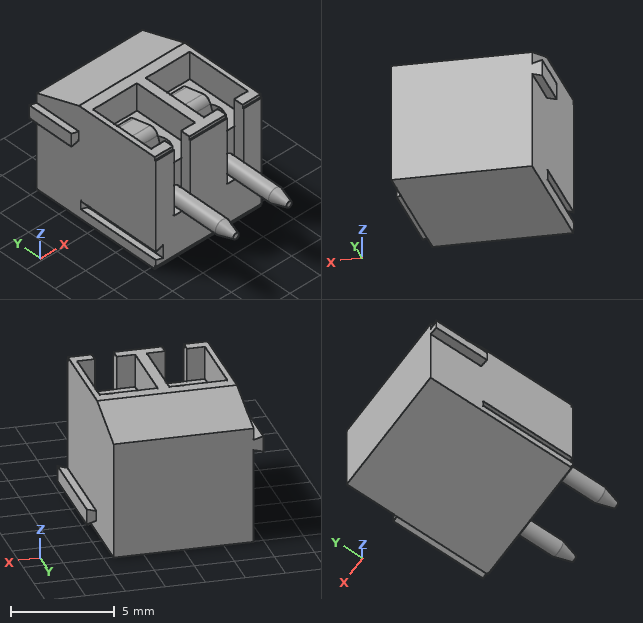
import cadquery as cq
import math


overall_length = 12.19
overall_width = 7.98
body_width = 7.0
body_height = 7.0
body_length = 8.4
slope_length = 2.99
slope_start_y = body_length - slope_length
rear_height = 6.0
front_step_depth = 0.07
front_step_height = 0.2

front_wall = 0.66
side_wall = 0.3
middle_wall = 0.59
well_width = (body_width - 2 * side_wall - middle_wall) / 2
well_length = 4.08
well_floor_z = 5.29
well_x = (middle_wall + well_width) / 2

pole_pitch = 3.51
pole_x = pole_pitch / 2
slot_width = 1.08
slot_bottom_z = 2.71

hole_diameter = 2.02
hole_depth = 1.23
hole_y = 2.16

leaf_width = 1.52
leaf_radius = 0.46
leaf_top_angle = 13.0
leaf_end_angle = 70.5
leaf_front_y = 2.7
leaf_front_z = 5.85
leaf_run = 2.06
leaf_embedment = 0.61
leaf_bottom_z = well_floor_z - hole_depth - leaf_embedment

pin_diameter = 0.93
pin_tip_diameter = 0.37
pin_taper_length = 0.98
pin_z = 3.4
pin_reach = overall_length - body_length

dovetail_depth = (overall_width - body_width) / 2
dovetail_wide = 0.82
rail_narrow = 0.5
rail_length = 5.29
rail_z = 0.87
groove_end_length = 0.16
groove_end_depth = 0.46
tab_narrow = 0.55
tab_length = slope_length
tab_z = 5.12


def block(x_center, width, y_start, y_end, z_start, z_end):
    """Box centred in X between the given Y and Z limits."""
    box = cq.Workplane("XY").box(width, y_end - y_start, z_end - z_start, centered=(True, False, False))
    return box.translate((x_center, y_start, z_start))


def dovetail(x_root, x_tip, narrow, wide, z_center, y_start, y_end):
    """Prism along Y that widens from its root to its tip."""
    return (
        cq.Workplane("XZ", origin=(0, y_start, z_center))
        .polyline([
            (x_root, -narrow / 2),
            (x_tip, -wide / 2),
            (x_tip, wide / 2),
            (x_root, narrow / 2),
        ])
        .close()
        .extrude(y_start - y_end)
    )


def housing():
    """Side profile with a sloped rear top and small steps along the front edges."""
    return (
        cq.Workplane("YZ", origin=(-body_width / 2, 0, 0))
        .polyline([
            (front_step_depth, 0),
            (body_length, 0),
            (body_length, rear_height),
            (slope_start_y, body_height),
            (front_step_depth, body_height),
            (front_step_depth, body_height - front_step_height),
            (0, body_height - front_step_height),
            (0, front_step_height),
            (front_step_depth, front_step_height),
        ])
        .close()
        .extrude(body_width)
    )


def pole_opening(side):
    """Well, front slot and round hole of one pole."""
    well = block(side * well_x, well_width, front_wall, front_wall + well_length, well_floor_z, body_height)
    slot = block(side * pole_x, slot_width, 0, front_wall, slot_bottom_z, body_height)
    hole = (
        cq.Workplane("XY", origin=(side * pole_x, hole_y, well_floor_z))
        .circle(hole_diameter / 2)
        .extrude(-hole_depth)
    )
    return well.union(slot).union(hole)


def clamp_leaf(side):
    """Leaf whose top falls to the rear and whose parallel ends lean back; the top edges are rounded."""
    rear_y = leaf_front_y + leaf_run
    rear_z = leaf_front_z - leaf_run * math.tan(math.radians(leaf_top_angle))
    end_slope = math.tan(math.radians(leaf_end_angle))
    leaf = (
        cq.Workplane("YZ", origin=(side * well_x - leaf_width / 2, 0, 0))
        .polyline([
            (leaf_front_y, leaf_front_z),
            (rear_y, rear_z),
            (rear_y - (rear_z - leaf_bottom_z) / end_slope, leaf_bottom_z),
            (leaf_front_y - (leaf_front_z - leaf_bottom_z) / end_slope, leaf_bottom_z),
        ])
        .close()
        .extrude(leaf_width)
    )
    return leaf.edges("|X").edges(">Z or >Y").fillet(leaf_radius)


def pin(side):
    """Round pin with a tapered tip, rising from the back of the front slot."""
    radius = pin_diameter / 2
    return (
        cq.Workplane("XY", origin=(side * pole_x, 0, pin_z))
        .polyline([
            (0, front_wall),
            (radius, front_wall),
            (radius, pin_taper_length - pin_reach),
            (pin_tip_diameter / 2, -pin_reach),
            (0, -pin_reach),
        ])
        .close()
        .revolve(360, (0, 0, 0), (0, 1, 0))
    )


def groove():
    """Dovetail groove in the -X side with a shallower stretch at its inner end."""
    x_side = -body_width / 2
    full_end_y = rail_length - groove_end_length
    end_wide = rail_narrow + (dovetail_wide - rail_narrow) * groove_end_depth / dovetail_depth
    full = dovetail(x_side, x_side + dovetail_depth, rail_narrow, dovetail_wide, rail_z, 0, full_end_y)
    end = dovetail(x_side, x_side + groove_end_depth, rail_narrow, end_wide, rail_z, full_end_y, rail_length)
    return full.union(end)


body = housing()
for side in (-1, 1):
    body = body.cut(pole_opening(side))
    body = body.union(clamp_leaf(side))
    body = body.union(pin(side))

body = body.cut(groove())
rail = dovetail(body_width / 2, overall_width / 2, rail_narrow, dovetail_wide, rail_z, 0, rail_length)
tab_start_y = body_length - tab_length
tab = dovetail(-body_width / 2, -overall_width / 2, tab_narrow, dovetail_wide, tab_z, tab_start_y, body_length)

result = body.union(rail).union(tab)